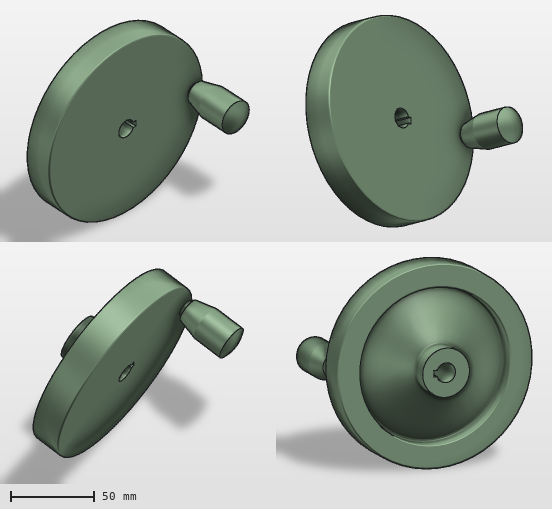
import cadquery as cq
import math


rim_radius = 125.0 / 2
rim_width = 20.1
rim_front = 17.1
rim_back = rim_front + rim_width
rim_edge_radius = 1.0

recess_mouth_radius = 96.4 / 2
recess_floor_radius = 47.8
recess_fillet = 1.3
web_angle = 26.0
web_mid_radius = 28.0

hub_radius = 30.0 / 2
hub_fillet = 1.7
bore_radius = 12.0 / 2
keyway_width = 4.0
keyway_reach = 7.9

grip_radius = 22.0 / 2
grip_neck_radius = 7.6
stem_radius = 10.5 / 2
stem_length = 2.6
grip_taper_length = 13.5
grip_straight_length = 20.0
overall_length = 76.0
overall_height = 128.8
handle_offset = overall_height - rim_radius - grip_radius


def web_x(radius):
    """Axial position of the conical web at a given radius."""
    return rim_front + (radius - web_mid_radius) * math.tan(math.radians(web_angle))


def revolve_about_x(profile):
    """Turn a closed profile, drawn as (axial, radial), about the X axis."""
    return profile.close().revolve(360, (0, 0, 0), (1, 0, 0))


def round_circle(body, x, radius, fillet):
    """Fillet the circular edge lying at the given axial position and radius."""
    margin = 0.06
    box = cq.selectors.BoxSelector(
        (x - margin, -radius - margin, -radius - margin),
        (x + margin, radius + margin, radius + margin),
        boundingbox=True,
    )
    return body.edges("%CIRCLE").edges(box).fillet(fillet)


def make_wheel():
    hub_root = web_x(hub_radius)
    recess_floor = web_x(recess_floor_radius)
    wheel = revolve_about_x(
        cq.Workplane("XY")
        .moveTo(0, 0)
        .lineTo(0, hub_radius)
        .lineTo(hub_root, hub_radius)
        .lineTo(recess_floor, recess_floor_radius)
        .lineTo(rim_front, recess_mouth_radius)
        .lineTo(rim_front, rim_radius)
        .lineTo(rim_back, rim_radius)
        .lineTo(rim_back, 0)
    )
    wheel = round_circle(wheel, hub_root, hub_radius, hub_fillet)
    wheel = round_circle(wheel, recess_floor, recess_floor_radius, recess_fillet)
    for x in (rim_front, rim_back):
        wheel = round_circle(wheel, x, rim_radius, rim_edge_radius)
    return wheel


def make_bore():
    """Through bore with one keyway on the +Y side."""
    bore = cq.Workplane("YZ").circle(bore_radius).extrude(rim_back)
    keyway = (
        cq.Workplane("YZ")
        .center(keyway_reach / 2, 0)
        .rect(keyway_reach, keyway_width)
        .extrude(rim_back)
    )
    return bore.union(keyway)


def make_handle():
    """Stem and tapered grip with a domed end."""
    taper_start = rim_back + stem_length
    taper_end = taper_start + grip_taper_length
    dome_start = taper_end + grip_straight_length
    dome_height = overall_length - dome_start
    dome_radius = (grip_radius**2 + dome_height**2) / (2 * dome_height)
    dome_half_angle = math.asin(grip_radius / dome_radius) / 2
    dome_middle = (
        overall_length - dome_radius * (1 - math.cos(dome_half_angle)),
        dome_radius * math.sin(dome_half_angle),
    )
    stem_root = rim_back - stem_length
    handle = revolve_about_x(
        cq.Workplane("XY")
        .moveTo(stem_root, 0)
        .lineTo(stem_root, stem_radius)
        .lineTo(taper_start, stem_radius)
        .lineTo(taper_start, grip_neck_radius)
        .lineTo(taper_end, grip_radius)
        .lineTo(dome_start, grip_radius)
        .threePointArc(dome_middle, (overall_length, 0))
    )
    return handle.translate((0, handle_offset, 0))


result = make_wheel().cut(make_bore()).union(make_handle())